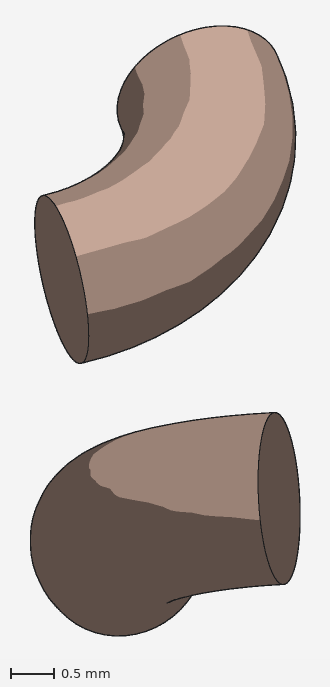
import cadquery as cq

outer_radius = 3.5
rod_diameter = 2.0
bend_angle = 90.0

rod_radius = rod_diameter / 2
bend_radius = outer_radius - rod_radius

result = (
    cq.Workplane("XZ")
    .center(bend_radius, 0)
    .circle(rod_radius)
    .revolve(bend_angle, (-bend_radius, 0, 0), (-bend_radius, 1, 0))
)